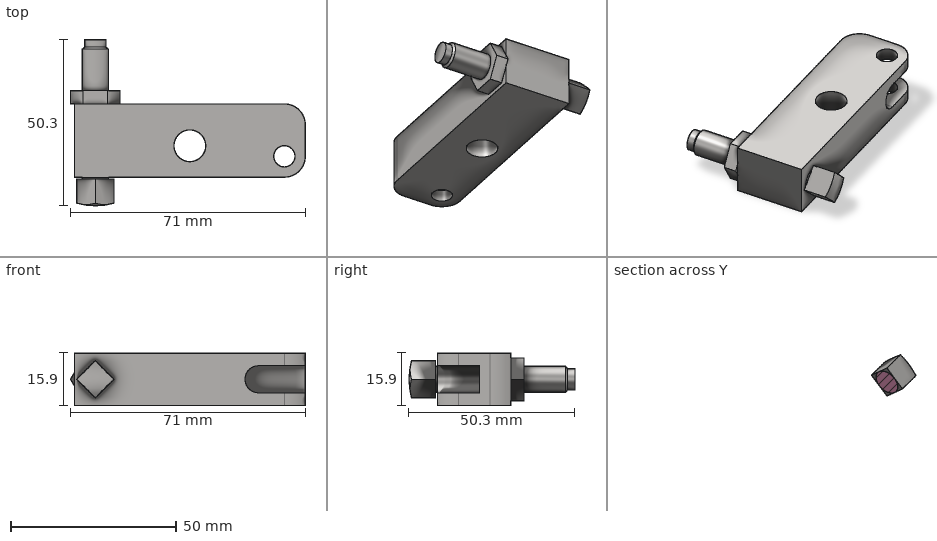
import cadquery as cq
import math

arm_length = 69.85
arm_width = 22.225
arm_thickness = 15.875
end_radius = 6.35

pivot_hole_diameter = 9.525
pivot_hole_x = 34.925
pivot_hole_y = 9.525
pin_hole_diameter = 6.35

slot_width = 8.2
slot_length = 18.25
slot_depth = 2 * end_radius

screw_x = 6.35
shank_diameter = 8.0
collar_length = 0.5
head_side = 8.0
head_length = 8.15
head_dome_radius = 20.0
nut_across_flats = 13.0
nut_thickness = 4.0
tip_diameter = 6.5
tip_length = 2.3
tip_chamfer_length = 0.6
screw_end_y = 41.62


def cylinder_y(diameter, y_start, y_end):
    """Round bar on the screw axis between two Y positions."""
    return prism_y(cq.Workplane("XY").circle(diameter / 2), y_start, y_end)


def prism_y(profile, y_start, y_end):
    """Extrude a profile drawn about the local origin along the screw axis."""
    bar = profile.extrude(y_end - y_start)
    return bar.rotate((0, 0, 0), (1, 0, 0), -90).translate((screw_x, y_start, 0))


def make_arm():
    arm = cq.Workplane("XY").box(arm_length, arm_width, arm_thickness, centered=(False, False, True))
    arm = arm.edges("|Z and >X").fillet(end_radius)
    pivot_hole = (
        cq.Workplane("XY")
        .center(pivot_hole_x, pivot_hole_y)
        .circle(pivot_hole_diameter / 2)
        .extrude(arm_thickness, both=True)
    )
    pin_hole = (
        cq.Workplane("XY")
        .center(arm_length - end_radius, end_radius)
        .circle(pin_hole_diameter / 2)
        .extrude(arm_thickness, both=True)
    )
    return arm.cut(pivot_hole).cut(pin_hole).cut(make_slot())


def make_slot():
    """Blind slot in the front face, open at +X and with a full-round inner end."""
    radius = slot_width / 2
    inner_x = arm_length - slot_length
    return (
        cq.Workplane("XZ")
        .moveTo(arm_length, radius)
        .lineTo(inner_x + radius, radius)
        .threePointArc((inner_x, 0), (inner_x + radius, -radius))
        .lineTo(arm_length, -radius)
        .close()
        .extrude(-slot_depth)
    )


def make_head():
    """Square head standing on its corner, with a spherical outer face."""
    y_back = -collar_length
    y_apex = y_back - head_length
    square = cq.Workplane("XY").rect(head_side, head_side)
    head = prism_y(square, y_apex, y_back)
    head = head.rotate((screw_x, 0, 0), (screw_x, 1, 0), 45)
    dome = cq.Workplane("XY").sphere(head_dome_radius).translate((screw_x, y_apex + head_dome_radius, 0))
    return head.intersect(dome)


def make_nut():
    across_corners = nut_across_flats / math.cos(math.pi / 6)
    hexagon = cq.Workplane("XY").polygon(6, across_corners)
    return prism_y(hexagon, arm_width, arm_width + nut_thickness)


def make_shank():
    """Shank with a chamfered end that steps down to a smaller tip."""
    tip_start = screw_end_y - tip_length
    shank = cylinder_y(shank_diameter, -collar_length, tip_start)
    chamfer_width = (shank_diameter - tip_diameter) / 2
    shank = shank.faces(">Y").chamfer(tip_chamfer_length, chamfer_width)
    return shank.union(cylinder_y(tip_diameter, tip_start, screw_end_y))


result = make_arm().union(make_shank()).union(make_head()).union(make_nut())